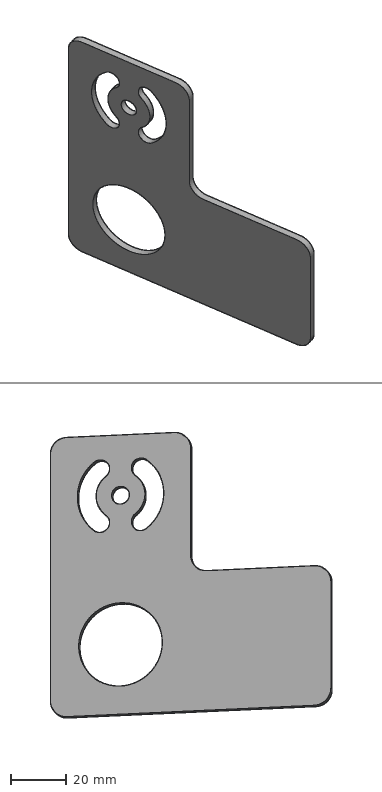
import cadquery as cq
import math

SIDE = 104.0
ARM_WIDTH = SIDE / 2
THICKNESS = 2.6
CORNER_RADIUS = 6.0

HOLE_X = ARM_WIDTH / 2
LARGE_HOLE_Z = ARM_WIDTH / 2
LARGE_HOLE_DIAMETER = 31.0
PIVOT_Z = 81.5
PIVOT_DIAMETER = 6.5

SLOT_OUTER_RADIUS = 16.0
SLOT_INNER_RADIUS = 9.0
SLOT_HALF_ANGLE = 53.0


def make_plate():
    """L-shaped plate with every corner rounded, front face on Y = 0."""
    return (
        cq.Workplane("XZ")
        .polyline([
            (0, 0),
            (SIDE, 0),
            (SIDE, ARM_WIDTH),
            (ARM_WIDTH, ARM_WIDTH),
            (ARM_WIDTH, SIDE),
            (0, SIDE),
        ])
        .close()
        .extrude(-THICKNESS)
        .edges("|Y")
        .fillet(CORNER_RADIUS)
    )


def make_round_cutter(z, diameter):
    """Cylinder through the plate on the hole centre line."""
    return cq.Workplane("XZ").center(HOLE_X, z).circle(diameter / 2).extrude(-THICKNESS)


def make_slot_cutter(middle_angle):
    """Arc slot with round ends, centred on the pivot; angle in degrees from +X."""
    mid_radius = (SLOT_OUTER_RADIUS + SLOT_INNER_RADIUS) / 2
    end_radius = (SLOT_OUTER_RADIUS - SLOT_INNER_RADIUS) / 2

    def polar(radius, offset):
        angle = math.radians(middle_angle + offset)
        return radius * math.cos(angle), radius * math.sin(angle)

    def end_tip(side):
        x, z = polar(mid_radius, side * SLOT_HALF_ANGLE)
        tangent_x, tangent_z = polar(end_radius, side * (SLOT_HALF_ANGLE + 90))
        return x + tangent_x, z + tangent_z

    return (
        cq.Workplane("XZ")
        .center(HOLE_X, PIVOT_Z)
        .moveTo(*polar(SLOT_OUTER_RADIUS, -SLOT_HALF_ANGLE))
        .threePointArc(polar(SLOT_OUTER_RADIUS, 0), polar(SLOT_OUTER_RADIUS, SLOT_HALF_ANGLE))
        .threePointArc(end_tip(1), polar(SLOT_INNER_RADIUS, SLOT_HALF_ANGLE))
        .threePointArc(polar(SLOT_INNER_RADIUS, 0), polar(SLOT_INNER_RADIUS, -SLOT_HALF_ANGLE))
        .threePointArc(end_tip(-1), polar(SLOT_OUTER_RADIUS, -SLOT_HALF_ANGLE))
        .close()
        .extrude(-THICKNESS)
    )


result = make_plate()
result = result.cut(make_round_cutter(LARGE_HOLE_Z, LARGE_HOLE_DIAMETER))
result = result.cut(make_round_cutter(PIVOT_Z, PIVOT_DIAMETER))
for slot_direction in (0, 180):
    result = result.cut(make_slot_cutter(slot_direction))